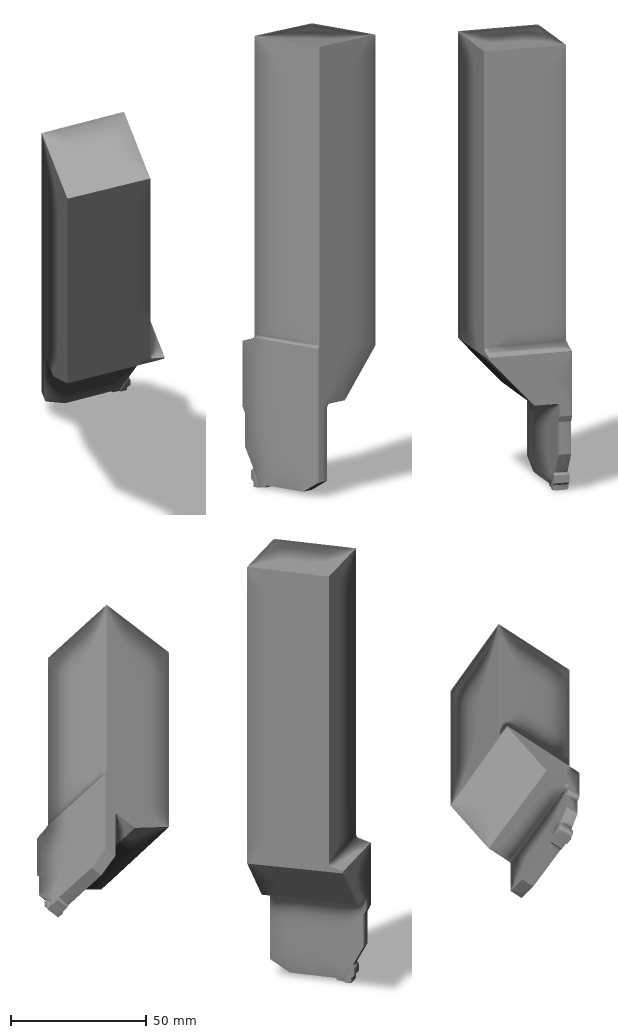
import cadquery as cq
import math

total_length = 170.0
total_width = 33.0

shank_size = 32.0
shank_taper_angle = 1.0
shank_left = total_width - shank_size

head_left = 0.5
head_back = 37.5
head_top = 56.3
head_step_height = 1.0
shoulder_back_z = 54.4
shoulder_angle = 15.0
shoulder_fillet = 1.4
head_bottom = 1.4

relief_start_z = 53.5
relief_end_x = 15.3
blade_top = 34.7
blade_right = 5.5
blade_fillet = 1.4

back_step = 1.2
back_step_top = 29.8
back_step_bottom = 27.4
nose_top = 14.8
nose_bottom_y = 29.0
heel_length = 7.6
heel_angle = 30.0

insert_width = head_left + blade_right
insert_front_y = 32.8
insert_corner = 0.5
insert_tip_y = 31.6
insert_edge_bottom = 3.0
insert_edge_top = 6.1
insert_top = 14.1
cut_margin = 8.5


def prism_along_x(outline, x_start, x_end):
    """Extrude a (Y, Z) outline, given as a YZ workplane wire, between two X positions."""
    return outline.extrude(x_end - x_start).translate((x_start, 0, 0))


def front_profile():
    """Holder silhouette in X and Z, extruded over the full depth in Y."""
    points = [
        (shank_left, total_length),
        (total_width, total_length),
        (total_width, relief_start_z),
        (relief_end_x, blade_top),
        (blade_right, blade_top),
        (blade_right, head_bottom),
        (head_left, head_bottom),
        (head_left, head_top),
        (shank_left, head_top + head_step_height),
    ]
    body = cq.Workplane("XZ").polyline(points).close().extrude(-head_back)
    blade_root = cq.selectors.BoxSelector(
        (blade_right - blade_fillet, -1.7, blade_top - blade_fillet),
        (blade_right + blade_fillet, head_back + 1.7, blade_top + blade_fillet),
    )
    return body.edges(blade_root).fillet(blade_fillet)


def side_profile():
    """Holder silhouette in Y and Z, extruded over the full width in X."""
    shoulder_rise = (head_back - shank_size) * math.tan(math.radians(shoulder_angle))
    shoulder_front_z = shoulder_back_z + shoulder_rise
    heel_height = heel_length * math.tan(math.radians(heel_angle))
    blade_back = head_back - back_step
    outline = cq.Workplane("YZ").polyline([
        (0, total_length),
        (shank_size, total_length),
        (shank_size, shoulder_front_z),
        (head_back, shoulder_back_z),
        (head_back, back_step_top),
        (blade_back, back_step_bottom),
        (blade_back, nose_top),
        (nose_bottom_y, head_bottom),
        (heel_length, head_bottom),
        (0, head_bottom + heel_height),
    ]).close()
    body = prism_along_x(outline, 0, total_width)
    shoulder_root = cq.selectors.BoxSelector(
        (-1.7, shank_size - shoulder_fillet, shoulder_front_z - shoulder_fillet),
        (total_width + 1.7, shank_size + shoulder_fillet, shoulder_front_z + shoulder_fillet),
    )
    return body.edges(shoulder_root).fillet(shoulder_fillet)


def taper_cut():
    """Wedge removed from the +X face, deepest at the front face."""
    depth = shank_size * math.tan(math.radians(shank_taper_angle))
    return (
        cq.Workplane("XY")
        .polyline([
            (total_width - depth, 0),
            (total_width, shank_size),
            (total_width + cut_margin, shank_size),
            (total_width + cut_margin, 0),
        ])
        .close()
        .extrude(total_length)
    )


def make_insert():
    """Cutting insert: flush with the blade in its seat, wider beyond the blade's nose edge."""
    outline = cq.Workplane("YZ").polyline([
        (insert_tip_y, 0),
        (insert_tip_y, 2.0),
        (insert_front_y, insert_edge_bottom),
        (insert_front_y, insert_edge_top),
        (32.0, 7.1),
        (30.5, 11.5),
        (28.0, insert_top),
        (22.3, insert_top),
        (21.8, 13.0),
        (22.1, 10.4),
        (25.2, 1.9),
        (26.2, 0.5),
    ]).close()
    blank = prism_along_x(outline, 0, insert_width)
    blade_back = head_back - back_step
    nose_outline = cq.Workplane("YZ").polyline([
        (blade_back, nose_top),
        (nose_bottom_y, head_bottom),
        (nose_bottom_y, 0),
        (blade_back, 0),
    ]).close()
    ahead_of_nose = prism_along_x(nose_outline, 0, insert_width)
    blade_slab = cq.Workplane("XY").box(
        blade_right - head_left, head_back, nose_top, centered=False
    ).translate((head_left, 0, 0))
    width_limit = blade_slab.union(ahead_of_nose)
    corner_rounding = (
        cq.Workplane("XY")
        .box(insert_width, head_back, nose_top, centered=False)
        .edges("|Y and <Z")
        .fillet(insert_corner)
    )
    return blank.intersect(width_limit).intersect(corner_rounding)


def make_holder(seated_insert):
    """Tool holder with a seat that matches the insert."""
    body = front_profile().intersect(side_profile())
    return body.cut(taper_cut()).cut(seated_insert)


insert = make_insert()
holder = make_holder(insert)
result = cq.Compound.makeCompound([holder.val(), insert.val()])